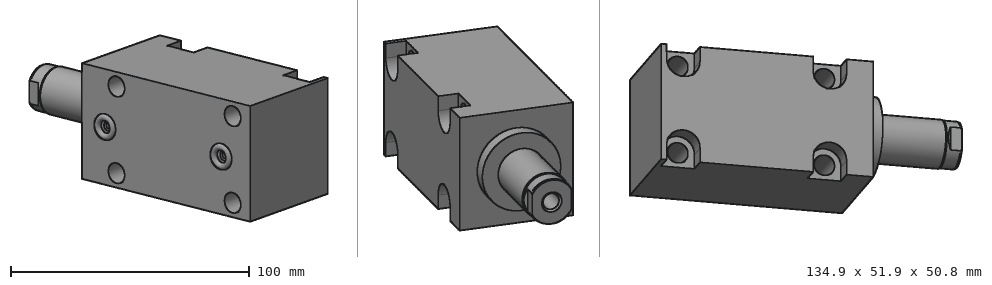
import cadquery as cq

total_length = 134.9
body_depth = 50.6
body_height = 50.8
body_length = 92.0
half_depth = body_depth / 2
half_height = body_height / 2
body_start = total_length - body_length

collar_diameter = 34.9
collar_length = 6.2
shaft_diameter = 20.8
tip_diameter = 20.2
tip_length = 6.9
tip_shoulder = 0.7
tip_chamfer_length = 0.8
tip_chamfer_depth = 0.3

flats_width = 17.5
flats_length = 5.0
bore_diameter = 7.1
bore_mouth_diameter = 8.9
bore_chamfer = (bore_mouth_diameter - bore_diameter) / 2
bore_depth = 16.2

hole_diameter = 8.9
hole_spacing_x = 63.5
hole_spacing_z = 38.0
first_hole_x = 61.8
slot_width = 14.4
slot_depth = 9.0

first_port_x = 55.5
port_diameter = 2.7
port_mouth_diameter = 4.0
port_chamfer = (port_mouth_diameter - port_diameter) / 2
port_depth = 10.8
ring_section = 3.0
ring_outer_diameter = 11.5
ring_projection = 1.3
ring_path_radius = (ring_outer_diameter - ring_section) / 2
recess_depth = ring_section - ring_projection


def x_cylinder(start, length, diameter):
    return cq.Workplane("YZ", origin=(start, 0, 0)).circle(diameter / 2).extrude(length)


def y_cylinder(x, y, z, length, diameter):
    """Cylinder running toward +Y from the given start point."""
    plane = cq.Plane(origin=(x, y, z), xDir=(1, 0, 0), normal=(0, 1, 0))
    return cq.Workplane(plane).circle(diameter / 2).extrude(length)


def make_shaft():
    """Revolve the stepped shaft and collar around the X axis."""
    tip_radius = tip_diameter / 2
    shaft_radius = shaft_diameter / 2
    collar_start = body_start - collar_length
    profile = [
        (0, 0),
        (0, tip_radius - tip_chamfer_depth),
        (tip_chamfer_length, tip_radius),
        (tip_length, tip_radius),
        (tip_length + tip_shoulder, shaft_radius),
        (collar_start, shaft_radius),
        (collar_start, collar_diameter / 2),
        (body_start, collar_diameter / 2),
        (body_start, 0),
    ]
    return cq.Workplane("XY").polyline(profile).close().revolve(360, (0, 0, 0), (1, 0, 0))


def flat_cut(side):
    """Cutter for one wrench flat, with a 45 degree run-out."""
    flat_y = flats_width / 2
    outer_y = shaft_diameter
    runout = outer_y - flat_y
    profile = [
        (0, side * flat_y),
        (flats_length, side * flat_y),
        (flats_length + runout, side * outer_y),
        (0, side * outer_y),
    ]
    return cq.Workplane("XY").polyline(profile).close().extrude(shaft_diameter / 2, both=True)


def tip_bore():
    mouth = cq.Solid.makeCone(
        bore_mouth_diameter / 2, bore_diameter / 2, bore_chamfer, cq.Vector(0, 0, 0), cq.Vector(1, 0, 0)
    )
    return x_cylinder(0, bore_depth, bore_diameter).union(cq.Workplane(mouth))


def mounting_cut(x, side):
    """Through hole plus a round-ended slot open to the top (1) or bottom (-1)."""
    z = side * hole_spacing_z / 2
    slot_start = half_depth - slot_depth
    hole = y_cylinder(x, -half_depth, z, body_depth, hole_diameter)
    round_end = y_cylinder(x, slot_start, z, slot_depth, slot_width)
    open_end = cq.Workplane("XY").box(slot_width, slot_depth, half_height, centered=(True, False, True))
    open_end = open_end.translate((x, slot_start, z + side * half_height / 2))
    return hole.union(round_end).union(open_end)


def port_cut(x):
    """Ring recess with a chamfered port below it."""
    floor_y = recess_depth - half_depth
    recess = y_cylinder(x, -half_depth, 0, recess_depth, 2 * ring_path_radius)
    port = y_cylinder(x, floor_y, 0, port_depth, port_diameter)
    mouth = cq.Solid.makeCone(
        port_mouth_diameter / 2, port_diameter / 2, port_chamfer, cq.Vector(x, floor_y, 0), cq.Vector(0, 1, 0)
    )
    return recess.union(port).union(cq.Workplane(mouth))


def sealing_ring(x):
    centre = cq.Vector(x, ring_section / 2 - ring_projection - half_depth, 0)
    ring = cq.Solid.makeTorus(ring_path_radius, ring_section / 2, centre, cq.Vector(0, 1, 0))
    return cq.Workplane(ring)


body = cq.Workplane("XY").box(body_length, body_depth, body_height, centered=(False, True, True))
result = body.translate((body_start, 0, 0)).union(make_shaft()).cut(tip_bore())

for side in (-1, 1):
    result = result.cut(flat_cut(side))

for offset in (0, hole_spacing_x):
    for side in (-1, 1):
        result = result.cut(mounting_cut(first_hole_x + offset, side))
    port_x = first_port_x + offset
    result = result.cut(port_cut(port_x)).union(sealing_ring(port_x))